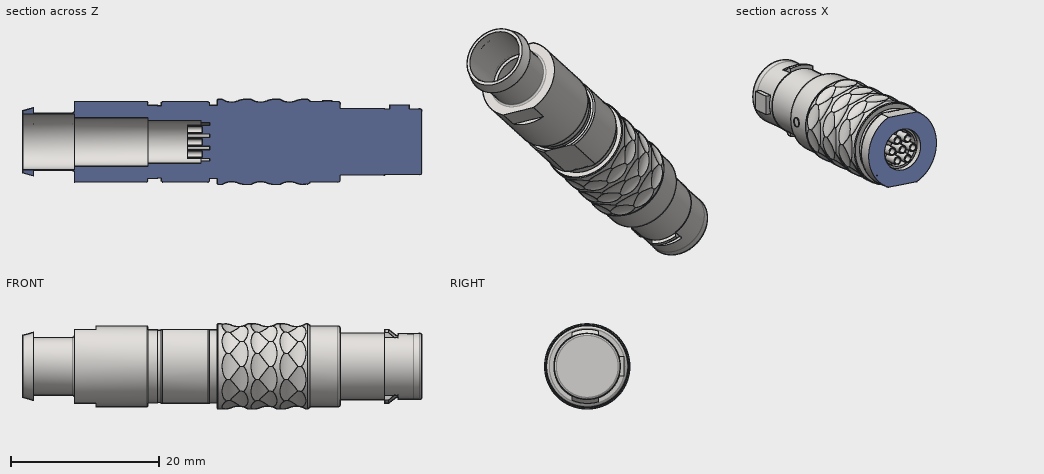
import cadquery as cq
import math


length = 53.79
flange_end = 1.5
body_start = 6.97
body_flat_end = 9.88
body_end = 16.87
ring_step = 18.15
nut_start = 18.65
nut_end = 25.2
knurl_start = 26.2
knurl_end = 38.37
collar_start = 38.7
collar_end = 42.8
nose_start = 48.77
tip_start = 52.67

flange_face_radius = 4.2
flange_radius = 4.63
neck_radius = 3.92
body_radius = 5.47
ring_radius = 4.95
ring_relief_radius = 4.9
knurl_radius = 5.75
shoulder_radius = 5.57
sleeve_radius = 4.5
nose_radius = 4.43
tip_radius = 4.47

neck_fillet = 0.25
body_end_fillet = 0.2
nut_chamfer = 0.2
knurl_chamfer = 0.12
collar_fillet = 0.35
tip_fillet = 0.3

flat_height = 4.97

cells_per_row = 10
grip_groups = 3
group_pitch = 3.9
first_row_x = 28.16
row_offset = 0.92
scoop_depth = 0.38
scoop_half_width = 1.28
scoop_length = 5.0
scoop_profile_radius = (scoop_half_width**2 + scoop_depth**2) / (2 * scoop_depth)

latch_width = 3.56
latch_center_y = -0.28
latch_radius = 5.0
latch_flat_end = 49.28
latch_end = 50.6
latch_root_radius = 4.0
window_floor_radius = 3.9
key_start = 49.45
key_end = 52.1
key_width = 2.6
key_height = 4.97
dot_center_x = 41.03
dot_radius = 0.63
dot_height = 0.1

entry_bore_radius = 3.75
entry_bore_end = body_start
middle_bore_radius = 3.25
middle_bore_end = body_end
inner_bore_radius = 2.85
inner_bore_end = 24.0
contact_well_radius = 2.55
contact_well_end = nut_end
contact_circle_radius = 1.65
outer_contacts = 6
contact_radius = 0.6
contact_length = 3.0
contact_embed = 1.0
cup_radius = 0.4
cup_depth = 2.0


def x_cylinder(start, end, radius, y=0.0, z=0.0):
    """Solid cylinder parallel to X between two stations."""
    direction = cq.Vector(1, 0, 0)
    return cq.Workplane(cq.Solid.makeCylinder(radius, end - start, cq.Vector(start, y, z), direction))


def revolve_about_x(sketch):
    """Full turn of a closed XY profile about the X axis."""
    return sketch.revolve(360, (0, 0, 0), (1, 0, 0))


def rear_end():
    """Cable flange, neck and rear body with its pair of flats."""
    profile = (
        cq.Workplane("XY")
        .moveTo(0, 0)
        .lineTo(0, flange_face_radius)
        .lineTo(flange_end, flange_radius)
        .lineTo(flange_end, neck_radius)
        .lineTo(body_start - neck_fillet, neck_radius)
        .radiusArc((body_start, neck_radius + neck_fillet), -neck_fillet)
        .lineTo(body_start, body_radius)
        .lineTo(body_end - body_end_fillet, body_radius)
        .radiusArc((body_end, body_radius - body_end_fillet), body_end_fillet)
        .lineTo(body_end, 0)
        .close()
    )
    return cut_flats(revolve_about_x(profile), body_start, body_flat_end)


def cut_flats(solid, start, end):
    """Trim a round section to two flats facing +Z and -Z."""
    for side in (1, -1):
        trim = cq.Workplane("XY").box(end - start, 2 * body_radius, body_radius)
        offset_z = side * (flat_height + body_radius / 2)
        solid = solid.cut(trim.translate(((start + end) / 2, 0, offset_z)))
    return solid


def nut():
    """Clamping nut: chamfered round section with two full-length flats."""
    blank = x_cylinder(nut_start, nut_end, body_radius).edges("%CIRCLE").chamfer(nut_chamfer)
    return cut_flats(blank, nut_start, nut_end)


def rings():
    """Slim sections on both sides of the nut."""
    rear = x_cylinder(body_end, ring_step, ring_radius)
    relief = x_cylinder(ring_step, nut_start, ring_relief_radius)
    front = x_cylinder(nut_end, knurl_start, ring_radius)
    return [rear, relief, front]


def grip():
    """Outer sleeve with two interleaved scallop rows in every group."""
    profile = (
        cq.Workplane("XY")
        .moveTo(knurl_start, 0)
        .lineTo(knurl_start, knurl_radius - knurl_chamfer)
        .lineTo(knurl_start + knurl_chamfer, knurl_radius)
        .lineTo(knurl_end, knurl_radius)
        .lineTo(collar_start, shoulder_radius)
        .lineTo(collar_start, body_radius)
        .lineTo(collar_end - collar_fillet, body_radius)
        .radiusArc((collar_end, body_radius - collar_fillet), collar_fillet)
        .lineTo(collar_end, 0)
        .close()
    )
    sleeve = revolve_about_x(profile)
    cell_angle = 360 / cells_per_row
    cutters = []
    for group in range(grip_groups):
        row_x = first_row_x + group * group_pitch
        for cell in range(cells_per_row):
            cutters.append(scoop(row_x, (cell + 0.5) * cell_angle))
            cutters.append(scoop(row_x + row_offset, cell * cell_angle))
    return cq.Workplane(sleeve.val().cut(*cutters))


def scoop(x, angle):
    """Cylindrical cutter lying across the sleeve, turned from +Z about X."""
    axis_height = knurl_radius - scoop_depth + scoop_profile_radius
    start = cq.Vector(x, -scoop_length / 2, axis_height)
    cutter = cq.Solid.makeCylinder(scoop_profile_radius, scoop_length, start, cq.Vector(0, 1, 0))
    return cutter.rotate(cq.Vector(0, 0, 0), cq.Vector(1, 0, 0), angle)


def nose():
    """Plug shell, slightly relieved behind its rounded tip."""
    profile = (
        cq.Workplane("XY")
        .moveTo(collar_end, 0)
        .lineTo(collar_end, sleeve_radius)
        .lineTo(nose_start, sleeve_radius)
        .lineTo(nose_start, nose_radius)
        .lineTo(tip_start, nose_radius)
        .lineTo(length - tip_fillet, tip_radius)
        .radiusArc((length, tip_radius - tip_fillet), tip_fillet)
        .lineTo(length, 0)
        .close()
    )
    return revolve_about_x(profile)


def latch_slab():
    """Slab along Z as wide as the latches."""
    slab = cq.Workplane("XY").box(latch_end - nose_start, latch_width, 2 * body_radius)
    return slab.translate(((nose_start + latch_end) / 2, latch_center_y, 0))


def fit_latches(shell):
    """Open a window at +Z and -Z and set a ramped latch in each."""
    window_core = x_cylinder(nose_start, latch_end, window_floor_radius)
    ramp = (
        cq.Workplane("XY")
        .moveTo(nose_start, 0)
        .lineTo(nose_start, latch_radius)
        .lineTo(latch_flat_end, latch_radius)
        .lineTo(latch_end, latch_root_radius)
        .lineTo(latch_end, 0)
        .close()
    )
    windows = latch_slab().cut(window_core)
    latches = revolve_about_x(ramp).intersect(latch_slab())
    return shell.cut(windows).union(latches)


def key():
    """Alignment key on the +Y side of the nose."""
    block = cq.Workplane("XY").box(key_end - key_start, key_height, key_width)
    return block.translate(((key_start + key_end) / 2, key_height / 2, 0))


def index_dot():
    """Raised round mark on the +Y side of the collar."""
    top = body_radius + dot_height
    start = cq.Vector(dot_center_x, 0, 0)
    return cq.Workplane(cq.Solid.makeCylinder(dot_radius, top, start, cq.Vector(0, 1, 0)))


def cable_bore():
    """Stepped blind bore from the cable end."""
    entry = x_cylinder(0, entry_bore_end, entry_bore_radius)
    middle = x_cylinder(0, middle_bore_end, middle_bore_radius)
    inner = x_cylinder(0, inner_bore_end, inner_bore_radius)
    well = x_cylinder(0, contact_well_end, contact_well_radius)
    return entry.union(middle).union(inner).union(well)


def solder_contact(y, z):
    """Contact standing off the bore floor, with a solder cup in its end."""
    contact_start = contact_well_end - contact_length
    pin = x_cylinder(contact_start, contact_well_end + contact_embed, contact_radius, y, z)
    return pin.cut(x_cylinder(contact_start, contact_start + cup_depth, cup_radius, y, z))


def contact_places():
    """One centre contact and a ring around it, as (y, z)."""
    places = [(0.0, 0.0)]
    for index in range(outer_contacts):
        angle = 2 * math.pi * index / outer_contacts
        places.append((contact_circle_radius * math.cos(angle), contact_circle_radius * math.sin(angle)))
    return places


plug = rear_end()
for section in rings() + [nut(), grip(), fit_latches(nose()), key(), index_dot()]:
    plug = plug.union(section)
plug = plug.cut(cable_bore())
for place_y, place_z in contact_places():
    plug = plug.union(solder_contact(place_y, place_z))

result = plug